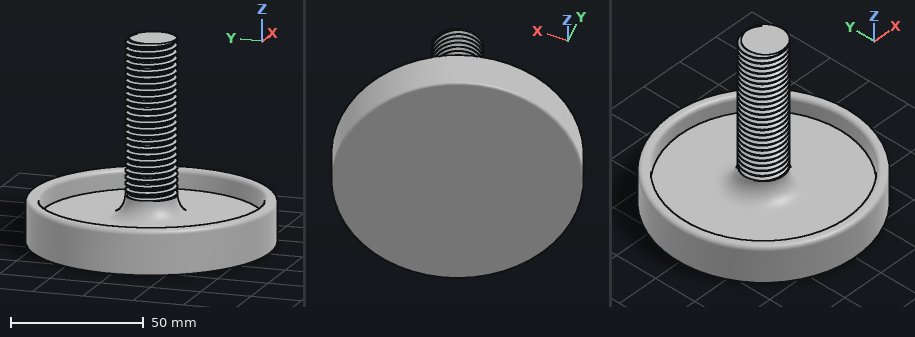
import cadquery as cq
import math

foot_diameter = 95.0
foot_height = 18.0
rim_width = 5.0
floor_height = 10.0
rim_fillet = 2.0
bottom_fillet = 1.0

total_height = 80.0
stud_diameter = 19.79
neck_fillet = 9.0

pitch = 2.5
root_diameter = 16.94
root_flat = pitch / 4
flank_half_angle = 30.0
turns_per_run = 13
lower_land_height = 33.95
land_angle = 20.0
cutter_overrun = 0.2
end_clearance = 1.25

foot_radius = foot_diameter / 2
cup_radius = foot_radius - rim_width
stud_radius = stud_diameter / 2
root_radius = root_diameter / 2
thread_start = floor_height + neck_fillet
upper_land_height = lower_land_height + turns_per_run * pitch


def make_foot():
    """Cup with rounded edges and a concave flare rising from its floor to the stud."""
    foot = cq.Workplane("XY").circle(foot_radius).extrude(foot_height)
    foot = foot.faces("<Z").edges().fillet(bottom_fillet)
    cup = cq.Workplane("XY").workplane(offset=floor_height).circle(cup_radius).extrude(foot_height)
    foot = foot.cut(cup)
    foot = foot.faces(">Z").edges().fillet(rim_fillet)

    flare_radius = stud_radius + neck_fillet
    arc_reach = neck_fillet * (1 - math.sqrt(0.5))
    flare = (
        cq.Workplane("XZ")
        .moveTo(0, floor_height)
        .lineTo(flare_radius, floor_height)
        .threePointArc(
            (stud_radius + arc_reach, floor_height + arc_reach),
            (stud_radius, thread_start),
        )
        .lineTo(0, thread_start)
        .close()
        .revolve(360, (0, 0, 0), (0, 1, 0))
    )
    return foot.union(flare)


def make_groove(start_height, turns):
    """Trapezoidal helical cutter running from a land at start_height to one that many turns above."""
    gap_rise = pitch * land_angle / 360
    outer_radius = stud_radius + cutter_overrun
    half_root = root_flat / 2
    half_mouth = half_root + (outer_radius - root_radius) * math.tan(math.radians(flank_half_angle))
    helix = cq.Wire.makeHelix(pitch, turns * pitch - gap_rise, root_radius)
    groove = (
        cq.Workplane("XZ")
        .polyline(
            [
                (root_radius, -half_root),
                (outer_radius, -half_mouth),
                (outer_radius, half_mouth),
                (root_radius, half_root),
            ]
        )
        .close()
        .sweep(cq.Workplane(obj=helix), isFrenet=True)
    )
    return groove.rotate((0, 0, 0), (0, 0, 1), land_angle / 2).translate((0, 0, start_height + gap_rise / 2))


def make_stud():
    """Threaded stud standing on the top of the flare."""
    stud = cq.Workplane("XY").workplane(offset=thread_start).circle(stud_radius)
    stud = stud.extrude(total_height - thread_start)
    turns_below = math.ceil((lower_land_height - thread_start + end_clearance) / pitch)
    turns_above = math.ceil((total_height - upper_land_height + end_clearance) / pitch)
    stud = stud.cut(make_groove(lower_land_height - turns_below * pitch, turns_below))
    stud = stud.cut(make_groove(lower_land_height, turns_per_run))
    return stud.cut(make_groove(upper_land_height, turns_above))


result = make_foot().union(make_stud())